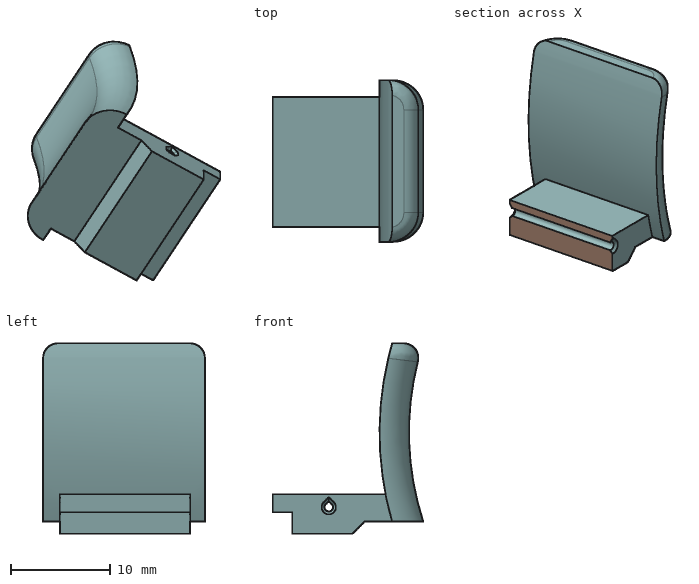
import cadquery as cq
import math

PLATE_TOP = 4.0
PLATE_WIDTH = 13.15
LEDGE_HEIGHT = 2.16
FOOT_START = 1.95
FOOT_END = 8.05
TAIL_HEIGHT = 1.24
CHAMFER_END = FOOT_END + TAIL_HEIGHT

FIN_WIDTH = 16.35
FIN_THICKNESS = 3.0
FIN_TOP = 19.24
FIN_BOTTOM = TAIL_HEIGHT
FIN_BACK = 15.2
FIN_INNER_RADIUS = 29.0
FIN_OUTER_RADIUS = FIN_INNER_RADIUS + FIN_THICKNESS
FIN_SIDE_RADIUS = FIN_THICKNESS
FIN_TOP_FILLET = 1.5
FIN_SWEEP = 60.0
FIN_MARGIN = 1.0

FIN_HEIGHT = FIN_TOP - FIN_BOTTOM
AXIS_Z = (FIN_TOP + FIN_BOTTOM) / 2
AXIS_X = FIN_BACK + math.sqrt(FIN_INNER_RADIUS**2 - (FIN_HEIGHT / 2) ** 2)
FIN_FRONT = AXIS_X - FIN_OUTER_RADIUS

PLATE_SIDE_GAP = 1.5
PLATE_Y_MIN = -FIN_WIDTH / 2 + PLATE_SIDE_GAP
PLATE_Y_MAX = PLATE_Y_MIN + PLATE_WIDTH

HOLE_X = 5.66
HOLE_Z = 2.69
HOLE_MOUTH_RADIUS = 0.72
HOLE_RADIUS = 0.42
HOLE_FLARE_DEPTH = HOLE_MOUTH_RADIUS - HOLE_RADIUS


def make_fin():
    """Revolved D-shaped section, trimmed flat at both ends and rounded along the top."""
    half_width = FIN_WIDTH / 2
    back = FIN_FRONT + FIN_THICKNESS
    flat_half = half_width - FIN_SIDE_RADIUS
    mid_x = FIN_FRONT + FIN_SIDE_RADIUS * math.sqrt(0.5)
    mid_y = flat_half + FIN_SIDE_RADIUS * math.sqrt(0.5)
    ring = (
        cq.Workplane("XY", origin=(0, 0, AXIS_Z))
        .moveTo(FIN_FRONT, -half_width)
        .threePointArc((mid_x, -mid_y), (back, -flat_half))
        .lineTo(back, flat_half)
        .threePointArc((mid_x, mid_y), (FIN_FRONT, half_width))
        .close()
        .revolve(FIN_SWEEP, (AXIS_X, -1, 0), (AXIS_X, 1, 0))
        .rotate((AXIS_X, 0, AXIS_Z), (AXIS_X, 1, AXIS_Z), -FIN_SWEEP / 2)
    )
    trim_length = FIN_BACK - FIN_FRONT + 2 * FIN_MARGIN
    trim_width = FIN_WIDTH + 2 * FIN_MARGIN
    trim = (
        cq.Workplane("XY", origin=(FIN_FRONT - FIN_MARGIN, 0, FIN_BOTTOM))
        .box(trim_length, trim_width, FIN_HEIGHT, centered=(False, True, False))
    )
    fin = ring.intersect(trim)
    return fin.faces(">Z").edges("not(<X)").fillet(FIN_TOP_FILLET)


def make_plate():
    """Stepped plate that runs under the fin; whatever passes its front face is cut away."""
    profile = [
        (0, LEDGE_HEIGHT),
        (FOOT_START, LEDGE_HEIGHT),
        (FOOT_START, 0),
        (FOOT_END, 0),
        (CHAMFER_END, TAIL_HEIGHT),
        (AXIS_X, TAIL_HEIGHT),
        (AXIS_X, PLATE_TOP),
        (0, PLATE_TOP),
    ]
    plate = cq.Workplane("XZ", origin=(0, PLATE_Y_MAX, 0)).polyline(profile).close().extrude(PLATE_WIDTH)
    fin_envelope = (
        cq.Workplane("XZ", origin=(AXIS_X, PLATE_Y_MAX, AXIS_Z)).circle(FIN_OUTER_RADIUS).extrude(PLATE_WIDTH)
    )
    return plate.cut(fin_envelope)


def teardrop(workplane, radius):
    """Circle about the origin with 45 degree tangents meeting in a point above it."""
    tangent = radius * math.sqrt(0.5)
    return (
        workplane.moveTo(-tangent, tangent)
        .threePointArc((0, -radius), (tangent, tangent))
        .lineTo(0, radius * math.sqrt(2))
        .close()
    )


def make_hole():
    """Teardrop bore through the plate with a flared mouth at each side face."""
    start = cq.Workplane("XZ", origin=(HOLE_X, PLATE_Y_MAX, HOLE_Z))
    bore = teardrop(start, HOLE_RADIUS).extrude(PLATE_WIDTH)
    for side_y, inward in ((PLATE_Y_MIN, 1), (PLATE_Y_MAX, -1)):
        mouth = cq.Workplane("XZ", origin=(HOLE_X, side_y, HOLE_Z))
        throat = mouth.workplane(offset=-inward * HOLE_FLARE_DEPTH)
        mouth_wire = teardrop(mouth, HOLE_MOUTH_RADIUS).val()
        throat_wire = teardrop(throat, HOLE_RADIUS).val()
        bore = bore.union(cq.Workplane(cq.Solid.makeLoft([mouth_wire, throat_wire], True)))
    return bore


result = make_plate().union(make_fin()).cut(make_hole())